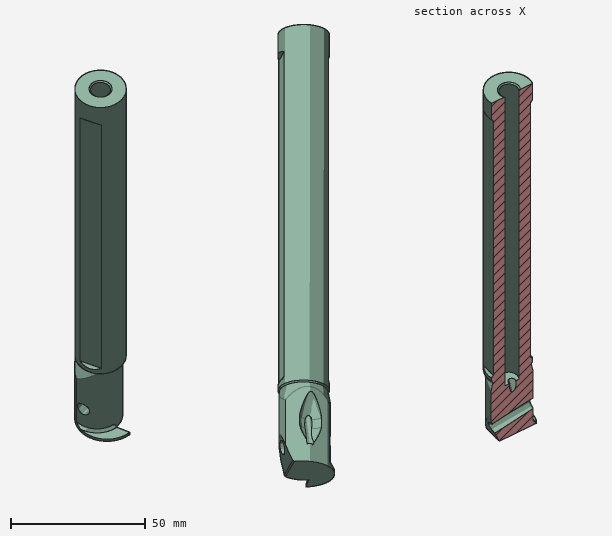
import cadquery as cq
import math

total_length = 177.5
shank_radius = 9.5
shank_bottom = 32.3
shank_edge_chamfer = 0.5
flat_offset = 8.5
flat_bottom = 35.9
flat_top = 168.0

cutter_center_x = 2.7
cutter_radius = 12.0
neck_center_x = -1.5
neck_radius = 9.5
shoulder_top_radius = 9.0
shoulder_slope = 0.19
lip_thickness = 1.2
lip_blend = 1.0
lip_root_y = -3.7
lip_tip_y = -4.0
relief_points = [(9.8, 14.7), (8.3, 7.3), (6.0, 0.5)]
relief_base_y = 5.5

bore_radius = 3.7
bore_bottom = 27.5
bore_chamfer = 0.5
window_radius = 4.8
window_axis = (-10.7, -0.7)
window_bottom = 5.7
window_band_bottom = 15.0
window_band_top = 18.6
window_top = 30.7
window_bulge = 3.0
port_radius = 1.5
port_start = (-0.7, -0.4, 29.3)
port_exit = (-10.0, -0.4, 7.5)
front_hole_radius = 2.7
front_hole_start = (-2.8, -12.5, 11.9)
front_hole_length = 32.0
front_hole_direction = (0.06, 1.0, -0.18)

clearance = 17.8


def cylinder(center_x, radius, height):
    return cq.Workplane("XY").center(center_x, 0).circle(radius).extrude(height)


def drill(start, direction, radius, length):
    return cq.Workplane(cq.Solid.makeCylinder(radius, length, cq.Vector(*start), cq.Vector(*direction)))


def make_shank():
    bar = cylinder(0, shank_radius, total_length - shank_bottom)
    bar = bar.translate((0, 0, shank_bottom)).faces("<Z").chamfer(shank_edge_chamfer)
    flat_cut = (
        cq.Workplane("YZ")
        .moveTo(flat_offset, flat_bottom)
        .lineTo(flat_offset + clearance, flat_bottom - clearance)
        .lineTo(flat_offset + clearance, flat_top + clearance)
        .lineTo(flat_offset, flat_top)
        .close()
        .extrude(clearance, both=True)
    )
    return bar.cut(flat_cut).cut(flat_cut.mirror("XZ"))


def make_head():
    cutter = cylinder(cutter_center_x, cutter_radius, shank_bottom)
    neck = cylinder(neck_center_x, neck_radius, shank_bottom)
    shoulder_base_radius = shoulder_top_radius + shoulder_slope * shank_bottom
    shoulder = cq.Workplane(cq.Solid.makeCone(shoulder_base_radius, shoulder_top_radius, shank_bottom))
    body = cutter.intersect(neck).intersect(shoulder)

    lip = cylinder(0, 2 * cutter_radius, lip_thickness)
    blend = cq.Workplane(
        cq.Solid.makeCone(
            neck_radius + lip_blend,
            neck_radius,
            lip_blend,
            cq.Vector(neck_center_x, 0, lip_thickness),
        )
    )
    lip_limit = (
        cq.Workplane("XY")
        .moveTo(0, lip_root_y)
        .lineTo(neck_center_x + neck_radius, lip_root_y)
        .lineTo(cutter_center_x + cutter_radius, lip_tip_y)
        .lineTo(cutter_center_x + cutter_radius, -clearance)
        .lineTo(-clearance, -clearance)
        .lineTo(-clearance, lip_root_y)
        .close()
        .extrude(shank_bottom)
    )
    lip = lip.union(blend).intersect(cutter).intersect(lip_limit)

    relief = (
        cq.Workplane("YZ")
        .moveTo(*relief_points[0])
        .threePointArc(*relief_points[1:])
        .lineTo(relief_base_y, 0)
        .lineTo(clearance, 0)
        .lineTo(clearance, relief_points[0][1])
        .close()
        .extrude(clearance, both=True)
    )
    return body.union(lip).cut(relief)


def make_bore():
    bore = cylinder(0, bore_radius, total_length - bore_bottom).translate((0, 0, bore_bottom))
    mouth = cq.Solid.makeCone(
        bore_radius, bore_radius + bore_chamfer, bore_chamfer, cq.Vector(0, 0, total_length - bore_chamfer)
    )
    return bore.union(cq.Workplane(mouth))


def make_window():
    lower_middle = (window_bulge, (window_bottom + window_band_bottom) / 2)
    upper_middle = (window_bulge, (window_band_top + window_top) / 2)
    profile = (
        cq.Workplane("XZ")
        .moveTo(0, window_bottom)
        .threePointArc(lower_middle, (window_radius, window_band_bottom))
        .lineTo(window_radius, window_band_top)
        .threePointArc(upper_middle, (0, window_top))
        .close()
    )
    return profile.revolve(360, (0, 0, 0), (0, 1, 0)).translate((*window_axis, 0))


def make_port():
    path = cq.Vector(*port_exit) - cq.Vector(*port_start)
    return drill(port_start, path.toTuple(), port_radius, path.Length)


front_hole = drill(front_hole_start, front_hole_direction, front_hole_radius, front_hole_length)

result = make_shank().union(make_head()).cut(make_bore())
result = result.cut(make_window()).cut(make_port()).cut(front_hole)